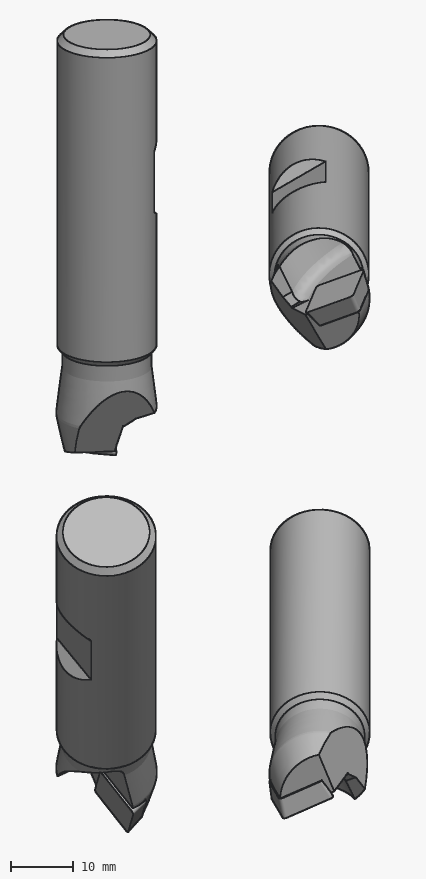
import cadquery as cq
import math

total_height = 73.2
shank_diameter = 15.9
shank_bottom = 20.5
top_chamfer = 1.0
flat_depth = 1.75
flat_bottom = 43.9
flat_top = 54.25

neck_diameter = 14.3
neck_top = 19.55
neck_bottom = 16.9
rim_step = 0.15
rim_top = 9.2
rim_bottom = 8.8
bulge_radius = 7.6
bulge_height = 13.2
nose_radius = 7.25
nose_height = 4.75
head_bottom_radius = 6.0

relief_x = 4.75
relief_z = 8.9
relief_angle = 23.0

end_point = (-5.1, -3.15, 1.4)
end_clearance_angle = 6.0

insert_side = 8.8
insert_thickness = 3.2
insert_corner_radius = 0.6
insert_clearance_angle = 11.0
insert_tip = (-6.4, 0.1, -0.13)
lead_angle = 16.0
radial_rake = 4.1
insert_axial_rake = 4.9

gullet_radius = 14.4
gullet_center_x = -10.6
gullet_center_z = 4.9
gullet_corner_diameter = 4.2
gullet_face_point = (-8.05, 0.3, 9.15)
gullet_axial_rake = 6.0
edge_outer = (7.55, 10.2)
edge_bend = (3.1, 9.2)
edge_inner = (1.3, 8.05)

trim_size = 58.55

shank_radius = shank_diameter / 2
neck_radius = neck_diameter / 2
rim_radius = shank_radius + rim_step


def tangent(degrees):
    return math.tan(math.radians(degrees))


def rake_plane(origin, axial_rake):
    """Plane of a cutting face: local X climbs at the lead angle, the normal points into the head (-Y)."""
    slope_x = tangent(radial_rake)
    slope_z = tangent(axial_rake)
    run = math.cos(math.radians(lead_angle))
    rise = math.sin(math.radians(lead_angle))
    along = (run, slope_x * run + slope_z * rise, rise)
    return cq.Plane(origin=origin, xDir=along, normal=(slope_x, -1, slope_z))


def trim_block(plane):
    """Block that fills the space on the normal side of a plane."""
    return cq.Workplane(plane).rect(trim_size, trim_size).extrude(trim_size)


def turned_blank():
    """Shank, shoulder, neck and head as one turned profile."""
    return (
        cq.Workplane("XZ")
        .moveTo(0, 0)
        .lineTo(head_bottom_radius, 0)
        .threePointArc((nose_radius, nose_height), (rim_radius, rim_bottom))
        .lineTo(rim_radius, rim_top)
        .threePointArc((bulge_radius, bulge_height), (neck_radius, neck_bottom))
        .lineTo(neck_radius, neck_top)
        .lineTo(shank_radius, shank_bottom)
        .lineTo(shank_radius, total_height - top_chamfer)
        .lineTo(shank_radius - top_chamfer, total_height)
        .lineTo(0, total_height)
        .close()
        .revolve(360, (0, 0, 0), (0, 1, 0))
    )


def clamping_flat():
    """Trapezoid notch across the shank, with 45 degree ends."""
    flat_y = shank_radius - flat_depth
    return (
        cq.Workplane("YZ")
        .moveTo(flat_y, flat_bottom)
        .lineTo(shank_radius, flat_bottom - flat_depth)
        .lineTo(shank_radius, flat_top + flat_depth)
        .lineTo(flat_y, flat_top)
        .close()
        .extrude(shank_diameter, both=True)
    )


def side_relief():
    """Space beyond the sloping plane on the +X side of the head."""
    slope = tangent(relief_angle)
    return trim_block(cq.Plane(origin=(relief_x, 0, relief_z), xDir=(0, 1, 0), normal=(1, 0, -slope)))


def end_relief():
    """Space below the end face, which climbs towards +X and -Y."""
    slope_x = tangent(lead_angle)
    slope_y = tangent(end_clearance_angle)
    return trim_block(cq.Plane(origin=end_point, xDir=(1, 0, slope_x), normal=(slope_x, -slope_y, -1)))


def gullet():
    """Round hollow down to the gullet face, with everything below the wall's lower edge removed."""
    behind_face = trim_block(rake_plane(gullet_face_point, gullet_axial_rake))
    hollow = (
        cq.Workplane("XZ")
        .center(gullet_center_x, gullet_center_z)
        .circle(gullet_radius)
        .extrude(trim_size / 2, both=True)
        .cut(behind_face)
        .faces("<Y")
        .edges()
        .fillet(gullet_corner_diameter / 2)
    )
    edge_slope = (edge_outer[1] - edge_bend[1]) / (edge_outer[0] - edge_bend[0])
    far_y = 2 * shank_radius
    far_z = edge_bend[1] + edge_slope * (far_y - edge_bend[0])
    below_edge = (
        cq.Workplane("YZ")
        .moveTo(-far_y, edge_inner[1])
        .lineTo(*edge_inner)
        .lineTo(*edge_bend)
        .lineTo(far_y, far_z)
        .lineTo(far_y, -far_y)
        .lineTo(-far_y, -far_y)
        .close()
        .extrude(trim_size / 2, both=True)
        .cut(behind_face)
    )
    return hollow.union(below_edge)


def make_insert():
    """Tapered square with its four corners rounded, starting at its cutting face."""
    blank = (
        cq.Workplane(rake_plane(insert_tip, insert_axial_rake))
        .center(insert_side / 2, insert_side / 2)
        .rect(insert_side, insert_side)
        .extrude(insert_thickness, taper=insert_clearance_angle)
    )
    seat_and_rake_edges = blank.faces("<Y or >Y").edges().vals()
    corner_edges = [
        edge for edge in blank.edges().vals()
        if not any(edge.isSame(other) for other in seat_and_rake_edges)
    ]
    return blank.newObject(corner_edges).fillet(insert_corner_radius)


def make_holder(insert):
    """Turned tool holder with a pocket that matches the insert."""
    return (
        turned_blank()
        .cut(clamping_flat())
        .cut(side_relief())
        .cut(end_relief())
        .cut(gullet())
        .cut(insert)
    )


insert = make_insert()
holder = make_holder(insert)

result = cq.Compound.makeCompound([holder.solids().val(), insert.val()])